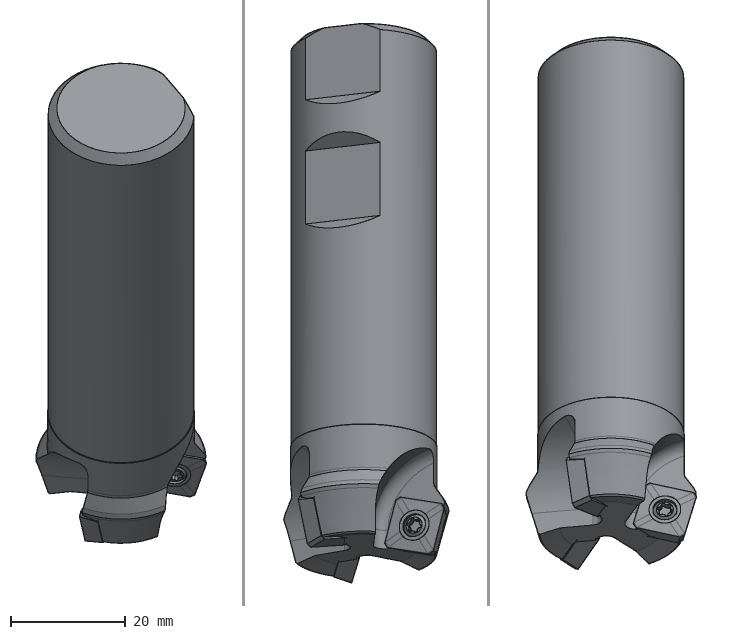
import cadquery as cq
import math

TOTAL_LENGTH = 95.25
SHANK_RADIUS = 25.4 / 2
SHANK_CHAMFER = 1.5
NECK_RADIUS = 25.6 / 2
NECK_TOP = 21.0
NECK_BLEND_TOP = 13.05
NECK_BOTTOM = 12.6
NECK_BLEND_FLARE = 0.1

FLAT_Y = 10.7
UPPER_FLAT_BOTTOM = 82.4
LOWER_FLAT_TOP = 73.0
LOWER_FLAT_BOTTOM = 59.5

TOOTH_COUNT = 3
LEAD_ANGLE = 15.0
HEAD_RADIUS = 14.9
HEAD_RIM_HEIGHT = 9.3
HEAD_SHOULDER_RADIUS = 14.5
HEAD_SHOULDER_HEIGHT = 10.2
HEAD_UNDERCUT = 0.2
HEAD_UNDERCUT_HEIGHT = 8.7
HEAD_BOTTOM = 1.05
HEAD_BOTTOM_BEVEL = 0.3
DISH_RADIUS = 8.9

INSERT_SIDE = 9.3
INSERT_NOSE = 0.7
INSERT_THICKNESS = 3.2
INSERT_RELIEF = 11.0
CUTTING_RADIUS = 15.0
FACE_RISE = 0.2
FACE_MARGIN = 0.1
FACE_CORNER = 0.6

BOSS_DIAMETER = 5.5
SCREW_BASE_DIAMETER = 4.2
SCREW_TOP_DIAMETER = 3.0
SCREW_GROOVE_DEPTH = 0.6
SOCKET_DIAMETER = 2.7
SOCKET_CORE_DIAMETER = 2.1
SOCKET_DEPTH = 1.1
SOCKET_LOBES = 6

GULLET_WALL_Y = -0.5
GULLET_CORNER_X = -1.5
GULLET_FLOOR_ANGLE = 22.0
GULLET_FILLET = 1.9
GULLET_LENGTH = 17.1
GULLET_BEND_HEIGHT = 5.4
GULLET_BEND_RADIUS = 14.1

LEAD = math.radians(LEAD_ANGLE)
GULLET_TURN = math.radians(GULLET_FLOOR_ANGLE)

HALF_SIDE = INSERT_SIDE / 2
NOSE_SETBACK = INSERT_NOSE * math.sin(LEAD)
HALF_SPAN = HALF_SIDE * (math.cos(LEAD) + math.sin(LEAD))
INSERT_CENTER_RADIUS = CUTTING_RADIUS + NOSE_SETBACK - HALF_SPAN
INSERT_CENTER_HEIGHT = HALF_SPAN - NOSE_SETBACK


def make_shank_and_head():
    """Turned blank: shank, neck and flared head with a dished end."""
    flank_radius = HEAD_RADIUS - HEAD_UNDERCUT
    bevel_top = HEAD_BOTTOM + HEAD_BOTTOM_BEVEL
    foot_radius = flank_radius - (HEAD_UNDERCUT_HEIGHT - bevel_top) * math.tan(LEAD)
    bottom_radius = foot_radius - HEAD_BOTTOM_BEVEL
    dish_height = HEAD_BOTTOM + (bottom_radius - DISH_RADIUS) * math.tan(LEAD)
    return (
        cq.Workplane("XZ")
        .moveTo(0, dish_height)
        .lineTo(DISH_RADIUS, dish_height)
        .lineTo(bottom_radius, HEAD_BOTTOM)
        .lineTo(foot_radius, bevel_top)
        .lineTo(flank_radius, HEAD_UNDERCUT_HEIGHT)
        .lineTo(HEAD_RADIUS, HEAD_RIM_HEIGHT)
        .lineTo(HEAD_SHOULDER_RADIUS, HEAD_SHOULDER_HEIGHT)
        .lineTo(NECK_RADIUS + NECK_BLEND_FLARE, NECK_BOTTOM)
        .lineTo(NECK_RADIUS, NECK_BLEND_TOP)
        .lineTo(NECK_RADIUS, NECK_TOP)
        .lineTo(SHANK_RADIUS, NECK_TOP + NECK_RADIUS - SHANK_RADIUS)
        .lineTo(SHANK_RADIUS, TOTAL_LENGTH - SHANK_CHAMFER)
        .lineTo(SHANK_RADIUS - SHANK_CHAMFER, TOTAL_LENGTH)
        .lineTo(0, TOTAL_LENGTH)
        .close()
        .revolve(360, (0, 0, 0), (0, 1, 0))
    )


def make_flats():
    """Material removed for the two clamping flats, with 45 degree end walls."""
    rise = SHANK_RADIUS - FLAT_Y
    upper = [
        (FLAT_Y, TOTAL_LENGTH),
        (FLAT_Y, UPPER_FLAT_BOTTOM),
        (SHANK_RADIUS, UPPER_FLAT_BOTTOM - rise),
        (SHANK_RADIUS, TOTAL_LENGTH),
    ]
    lower = [
        (FLAT_Y, LOWER_FLAT_TOP),
        (FLAT_Y, LOWER_FLAT_BOTTOM),
        (SHANK_RADIUS, LOWER_FLAT_BOTTOM - rise),
        (SHANK_RADIUS, LOWER_FLAT_TOP + rise),
    ]
    flats = cq.Workplane("YZ")
    for outline in (upper, lower):
        flats = flats.polyline(outline).close()
    return flats.extrude(SHANK_RADIUS, both=True)


def make_gullet():
    """Chip space: a floor that rises straight, then bends outward, meeting a flat wall in a fillet."""
    floor_plane = cq.Plane(
        origin=(GULLET_CORNER_X, GULLET_WALL_Y, 0),
        xDir=(-math.cos(GULLET_TURN), -math.sin(GULLET_TURN), 0),
        normal=(-math.sin(GULLET_TURN), math.cos(GULLET_TURN), 0),
    )
    bend_top = GULLET_BEND_HEIGHT + GULLET_BEND_RADIUS
    swept_floor = (
        cq.Workplane(floor_plane)
        .lineTo(0, GULLET_BEND_HEIGHT)
        .radiusArc((GULLET_BEND_RADIUS, bend_top), GULLET_BEND_RADIUS)
        .lineTo(GULLET_BEND_RADIUS, 0)
        .close()
        .extrude(GULLET_LENGTH, both=True)
    )
    ahead_of_wall = (
        cq.Workplane("XZ", origin=(-GULLET_LENGTH, GULLET_WALL_Y, bend_top / 2))
        .rect(2 * GULLET_LENGTH, bend_top)
        .extrude(-GULLET_LENGTH)
    )
    corner = (GULLET_CORNER_X, GULLET_WALL_Y, GULLET_BEND_HEIGHT / 2)
    return (
        swept_floor.intersect(ahead_of_wall)
        .edges(cq.NearestToPointSelector(corner))
        .fillet(GULLET_FILLET)
    )


def insert_plane():
    """Cutting-face plane, its axes along the sides of the insert, its normal toward +Y."""
    center = (-INSERT_CENTER_RADIUS, 0, INSERT_CENTER_HEIGHT)
    side_direction = (-math.cos(LEAD), 0, -math.sin(LEAD))
    return cq.Workplane(cq.Plane(origin=center, xDir=side_direction, normal=(0, 1, 0)))


def make_insert_blank():
    """Solid square insert with nose flats and relieved sides."""
    return (
        insert_plane()
        .rect(INSERT_SIDE, INSERT_SIDE)
        .extrude(-INSERT_THICKNESS, taper=INSERT_RELIEF)
        .edges("not(#Y)")
        .chamfer(INSERT_NOSE)
    )


def make_raised_face():
    """Low pyramid on the cutting face, its sides falling from the screw to the cutting edges."""
    face_side = INSERT_SIDE - 2 * FACE_MARGIN
    return (
        insert_plane()
        .rect(face_side, face_side)
        .workplane(offset=FACE_RISE)
        .rect(SCREW_BASE_DIAMETER, SCREW_BASE_DIAMETER)
        .loft()
        .edges("not(#Y)")
        .chamfer(FACE_CORNER)
    )


def make_screw_groove():
    """Ring groove between the straight hole in the boss and the conical screw head."""
    top = insert_plane().workplane(offset=FACE_RISE)
    hole = top.circle(SCREW_BASE_DIAMETER / 2).extrude(-SCREW_GROOVE_DEPTH)
    screw_head = (
        top.circle(SCREW_TOP_DIAMETER / 2)
        .workplane(offset=-SCREW_GROOVE_DEPTH)
        .circle(SCREW_BASE_DIAMETER / 2)
        .loft()
    )
    return hole.cut(screw_head)


def make_socket():
    """Lobed key socket in the screw head."""
    lobe_radius = (SOCKET_DIAMETER - SOCKET_CORE_DIAMETER) / 2
    top = insert_plane().workplane(offset=FACE_RISE)
    core = top.circle(SOCKET_CORE_DIAMETER / 2).extrude(-SOCKET_DEPTH)
    lobes = (
        top.polarArray(SOCKET_DIAMETER / 2 - lobe_radius, 0, 360, SOCKET_LOBES)
        .circle(lobe_radius)
        .extrude(-SOCKET_DEPTH)
    )
    return core.union(lobes)


def make_insert():
    """Insert with a raised cutting face, a boss at its centre and the screw head in the boss."""
    boss = insert_plane().circle(BOSS_DIAMETER / 2).extrude(FACE_RISE)
    raised = make_insert_blank().union(make_raised_face()).union(boss)
    return raised.cut(make_screw_groove()).cut(make_socket())


def around_axis(shape, tooth):
    """Shape turned about the tool axis to the given tooth."""
    return shape.rotate((0, 0, 0), (0, 0, 1), tooth * 360 / TOOTH_COUNT)


gullet = make_gullet()
seat = make_insert_blank()
insert = make_insert()

cutter_body = make_shank_and_head().cut(make_flats())
inserts = []
for tooth in range(TOOTH_COUNT):
    for removed in (gullet, seat):
        cutter_body = cutter_body.cut(around_axis(removed, tooth))
    inserts.append(around_axis(insert, tooth).val())

result = cq.Compound.makeCompound([cutter_body.val(), *inserts])